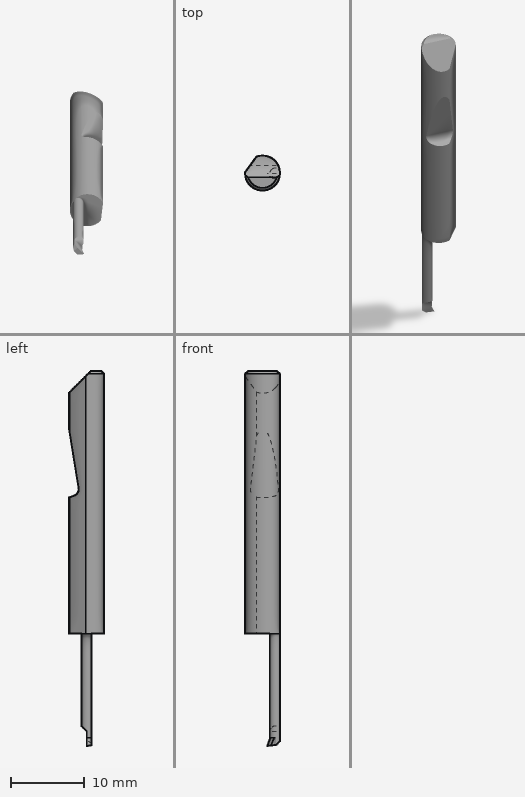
import cadquery as cq
import math

shank_radius = 2.38
shank_length = 35.56
end_chamfer = 0.37

flat_distance = 1.98
flat_normal_angle = 36.3

bevel_start_y = -0.6

notch_top = shank_length - 7.83
notch_bottom = shank_length - 17.12
notch_floor_angle = 9.15
notch_wall_angle = 20.0
notch_root_radius = 0.9

neck_radius = 0.71
neck_x = shank_radius - neck_radius
overall_length = 50.79
tip_z = shank_length - overall_length

rake_face_top = tip_z + 2.05
tooth_top = tip_z + 1.17
tip_x = 0.62
flank_angle = 20.5
flank_recess = 0.52
flank_bulge = 0.03
nose_rise_x = 0.14
nose_rise_y = 0.03
corner_chamfer_height = 0.7

clearance = 1.0


def make_shank():
    """Cylinder with a chamfered upper rim, a side flat, an end bevel and a notch."""
    shank = cq.Workplane("XY").circle(shank_radius).extrude(shank_length)
    shank = shank.faces(">Z").chamfer(end_chamfer)
    return shank.cut(side_flat_cutter()).cut(end_bevel_cutter()).cut(notch_cutter())


def side_flat_cutter():
    size = 2 * shank_radius
    return (
        cq.Workplane("XY")
        .box(size, 2 * size, shank_length + 2 * clearance, centered=(False, True, False))
        .translate((flat_distance, 0, -clearance))
        .rotate((0, 0, 0), (0, 0, 1), 180 - flat_normal_angle)
    )


def cut_across_x(outline, half_width):
    """Prism along X from a closed (Y, Z) outline."""
    return cq.Workplane("YZ").polyline(outline).close().extrude(half_width, both=True)


def end_bevel_cutter():
    reach = shank_radius + clearance
    outline = [
        (bevel_start_y - clearance, shank_length + clearance),
        (reach, shank_length + clearance),
        (reach, shank_length - (reach - bevel_start_y)),
    ]
    return cut_across_x(outline, reach)


def notch_cutter():
    floor_slope = math.tan(math.radians(notch_floor_angle))
    wall_slope = math.tan(math.radians(notch_wall_angle))
    height = notch_top - notch_bottom
    depth = height * floor_slope / (1 + floor_slope * wall_slope)
    reach = shank_radius + clearance
    outline = [
        (shank_radius, notch_top),
        (shank_radius - depth, notch_bottom + depth * wall_slope),
        (shank_radius, notch_bottom),
        (reach, notch_bottom - clearance * wall_slope),
        (reach, notch_top),
    ]
    return cut_across_x(outline, reach).edges("|X").edges("<Y").fillet(notch_root_radius)


def make_neck():
    """Cylinder down to the tip; its +Y half runs out at 45 degrees, its tooth side stops early."""
    neck = cq.Workplane("XY", origin=(neck_x, 0, tip_z)).circle(neck_radius).extrude(-tip_z)
    return neck.cut(run_out_cutter()).cut(tooth_side_cutter())


def run_out_cutter():
    reach = neck_radius + clearance
    outline = [
        (0, tip_z - clearance),
        (reach, tip_z - clearance),
        (reach, rake_face_top + reach),
        (0, rake_face_top),
    ]
    return cut_across_x(outline, shank_radius + clearance)


def tooth_side_cutter():
    """Clears the neck on the -X side of its axis, where the tooth takes its place."""
    reach = neck_radius + clearance
    return (
        cq.Workplane("XY", origin=(neck_x, 0, tooth_top))
        .box(reach, 2 * reach, reach, centered=(False, True, False))
        .rotate((neck_x, 0, tooth_top), (neck_x, 1, tooth_top), 180)
    )


def tooth_section(z):
    """Tooth section at height z: curved flank, flat front tangent to the neck, rake face on Y = 0."""
    flank_x = tip_x + (z - tip_z) * math.tan(math.radians(flank_angle))
    front_x = flank_x + flank_recess
    middle = (flank_x + flank_recess / 2 - flank_bulge, -neck_radius / 2 - flank_bulge)
    return (
        cq.Workplane("XY", origin=(0, 0, z))
        .moveTo(flank_x, 0)
        .threePointArc(middle, (front_x, -neck_radius))
        .lineTo(neck_x, -neck_radius)
        .lineTo(neck_x, 0)
        .close()
        .wire()
        .val()
    )


def make_tooth():
    """Cutting tooth widening downwards to the tip."""
    return cq.Workplane(cq.Solid.makeLoft([tooth_section(tip_z), tooth_section(tooth_top)], True))


def make_tool_end():
    """Neck and tooth with a relieved end face and a bevelled back corner."""
    body = make_neck().union(make_tooth())
    return body.cut(end_relief_cutter()).cut(back_corner_cutter())


def end_relief_cutter():
    """Block whose upper face rises from the tip towards +X and -Y."""
    size = 4 * shank_radius
    angle_x = math.degrees(math.atan(nose_rise_x / (neck_x - tip_x)))
    angle_y = math.degrees(math.atan(nose_rise_y / neck_radius))
    return (
        cq.Workplane("XY")
        .box(size, size, size, centered=(True, True, False))
        .translate((0, 0, -size))
        .rotate((0, 0, 0), (1, 0, 0), -angle_y)
        .rotate((0, 0, 0), (0, 1, 0), -angle_x)
        .translate((tip_x, 0, tip_z))
    )


def back_corner_cutter():
    corner_z = tip_z + corner_chamfer_height
    reach = corner_chamfer_height + clearance
    return (
        cq.Workplane("XZ")
        .moveTo(shank_radius + clearance, corner_z + clearance)
        .lineTo(shank_radius - reach, corner_z - reach)
        .lineTo(shank_radius + clearance, corner_z - reach)
        .close()
        .extrude(shank_radius, both=True)
    )


result = make_shank().union(make_tool_end())